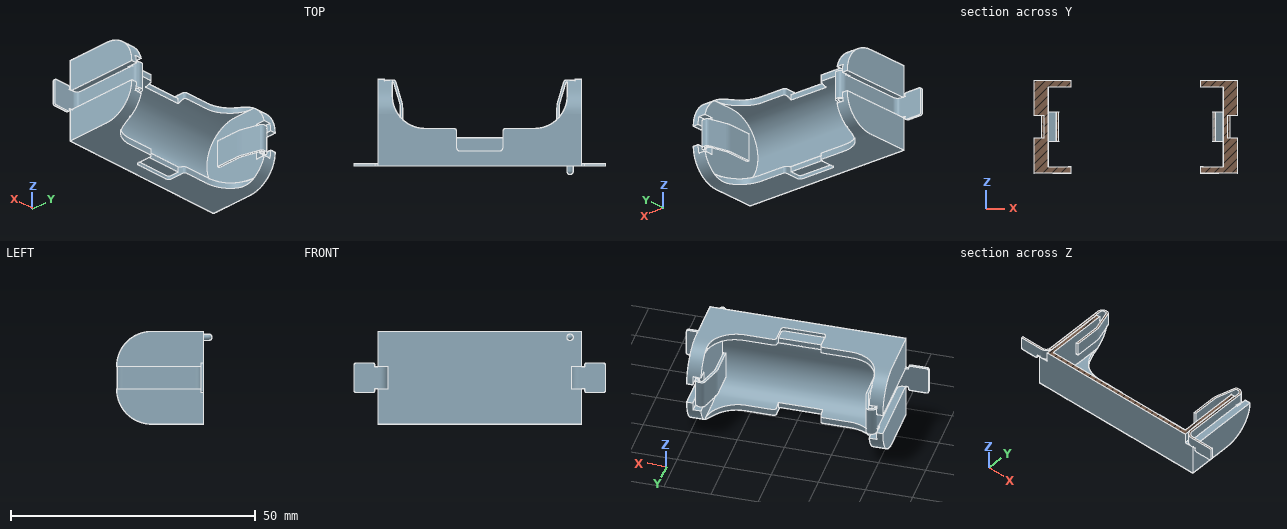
import cadquery as cq
import math


LENGTH = 41.65
WIDTH = 19.05
HEIGHT = 17.8
HALF_LENGTH = LENGTH / 2
HALF_WIDTH = WIDTH / 2
END_ROUND_RADIUS = 7.25
END_WALL = 3.0
SIDE_WALL_HEIGHT = 7.7
SIDE_SWEEP_RADIUS = 6.65
CUT_CLEARANCE = 0.5

CELL_RADIUS = 8.25
FLOOR = 1.05
CELL_AXIS_HEIGHT = FLOOR + CELL_RADIUS

NOTCH_LENGTH = 9.4
NOTCH_BOTTOM = 3.1
NOTCH_LEDGE_TOP = 5.8
NOTCH_LEDGE_DEPTH = 0.8
NOTCH_CORNER_RADIUS = 0.6

POCKET_SKIN = 1.35
POCKET_BOTTOM = 15.4
POCKET_WIDTH = 8.25

PIN_RADIUS = 0.65
PIN_LENGTH = 1.75
PIN_X = 18.45
PIN_Z = 8.3

OVERALL_LENGTH = 51.45
CLIP_THICKNESS = 0.5
CLIP_WIDTH = 4.55
BLADE_WIDTH = 6.05
CLIP_SLOT_DEPTH = 2.05
CLIP_TOP = 17.65
FOOT_BEND_RADIUS = 1.6
TOP_BEND_RADIUS = 1.25
TIP_BEND_RADIUS = 0.7
CONTACT_BEND_RADIUS = 4.1
TIP_BEND_START = 3.05
CONTACT_DEPTH = 5.1
CONTACT_BOTTOM = 6.15
ARM_LEAN = math.radians(16.5)
TAB_LENGTH = 4.25
TAB_CORNER_RADIUS = 0.4
TAB_REACH = (OVERALL_LENGTH - LENGTH) / 2


def block(x_limits, y_limits, z_limits):
    """Return a box between the given limits."""
    (x0, x1), (y0, y1), (z0, z1) = x_limits, y_limits, z_limits
    return cq.Workplane("XY").box(x1 - x0, y1 - y0, z1 - z0, centered=False).translate((x0, y0, z0))


def across(profile, width):
    """Extrude a profile in the XY plane by a width centred on Z = 0."""
    return profile.extrude(width / 2, both=True)


def housing_block():
    """Block with its two long open-side edges rounded."""
    body = block((-HALF_LENGTH, HALF_LENGTH), (0, HEIGHT), (-HALF_WIDTH, HALF_WIDTH))
    return body.edges("|X and >Y").fillet(END_ROUND_RADIUS)


def side_opening():
    """Space between the end walls above the low side walls."""
    inner = HALF_LENGTH - END_WALL
    opening = block((-inner, inner), (SIDE_WALL_HEIGHT, HEIGHT + CUT_CLEARANCE), (-HALF_WIDTH, HALF_WIDTH))
    return opening.edges("|Z and <Y").fillet(SIDE_SWEEP_RADIUS)


def cell_cavity():
    """Round-bottomed trough for the cell, open upwards."""
    inner = HALF_LENGTH - END_WALL
    trough = cq.Workplane("YZ").center(CELL_AXIS_HEIGHT, 0).circle(CELL_RADIUS).extrude(inner, both=True)
    mouth = block((-inner, inner), (CELL_AXIS_HEIGHT, HEIGHT + CUT_CLEARANCE), (-CELL_RADIUS, CELL_RADIUS))
    return trough.union(mouth)


def notch_outline():
    """Notch seen along Z, with rounded bottom corners and flared top corners."""
    half = NOTCH_LENGTH / 2
    radius = NOTCH_CORNER_RADIUS
    cut = radius * (1 - math.sqrt(0.5))
    top = SIDE_WALL_HEIGHT
    bottom = NOTCH_BOTTOM
    return (
        cq.Workplane("XY")
        .moveTo(-half - radius, top)
        .threePointArc((-half - cut, top - cut), (-half, top - radius))
        .lineTo(-half, bottom + radius)
        .threePointArc((-half + cut, bottom + cut), (-half + radius, bottom))
        .lineTo(half - radius, bottom)
        .threePointArc((half - cut, bottom + cut), (half, bottom + radius))
        .lineTo(half, top - radius)
        .threePointArc((half + cut, top - cut), (half + radius, top))
        .close()
    )


def finger_notch():
    """Notch through both side walls, leaving a sunken ledge at the foot of each."""
    cutter = across(notch_outline(), WIDTH)
    ledge_half_width = HALF_WIDTH - NOTCH_LEDGE_DEPTH
    kept = block(
        (-NOTCH_LENGTH, NOTCH_LENGTH),
        (0, NOTCH_LEDGE_TOP),
        (-ledge_half_width, ledge_half_width),
    )
    return cutter.cut(kept)


def clip_slot():
    """Slot in the left end wall, widened behind its outer skin to clear the top bends of the clip."""
    half_width = CLIP_WIDTH / 2
    slot = block(
        (-HALF_LENGTH, -HALF_LENGTH + CLIP_SLOT_DEPTH),
        (0, HEIGHT),
        (-half_width, half_width),
    )
    pocket = block(
        (-HALF_LENGTH + POCKET_SKIN, -HALF_LENGTH + END_WALL),
        (POCKET_BOTTOM, HEIGHT),
        (-POCKET_WIDTH / 2, POCKET_WIDTH / 2),
    )
    return slot.union(pocket)


def locating_pin():
    """Round-tipped pin standing out of the mounting face, part of the housing."""
    shank_length = PIN_LENGTH - PIN_RADIUS
    shank = cq.Workplane("XZ").circle(PIN_RADIUS).extrude(shank_length)
    tip = cq.Workplane("XY").sphere(PIN_RADIUS).translate((0, -shank_length, 0))
    return shank.union(tip).translate((PIN_X, 0, PIN_Z))


def make_housing():
    slot = clip_slot()
    return (
        housing_block()
        .cut(side_opening())
        .cut(cell_cavity())
        .cut(finger_notch())
        .cut(slot)
        .cut(slot.mirror("YZ"))
        .union(locating_pin())
    )


def bend(center, radius, start, end):
    """Return the start, middle and end points of an arc between two angles."""
    return [
        (center[0] + radius * math.cos(angle), center[1] + radius * math.sin(angle))
        for angle in (start, (start + end) / 2, end)
    ]


def path_through(start, bends, end):
    """Return a path from start to end along the given arcs, joined by straight lines."""
    path = cq.Workplane("XY").moveTo(*start)
    position = start
    for first, middle, last in bends:
        if first != position:
            path = path.lineTo(*first)
        path = path.threePointArc(middle, last)
        position = last
    return path.lineTo(*end)


def clip_strip():
    """Bent strip of the left clip: foot, upright, top bends and spring arm."""
    half = CLIP_THICKNESS / 2
    upright_x = -HALF_LENGTH + CLIP_SLOT_DEPTH - half
    top_y = CLIP_TOP - half
    contact_x = -HALF_LENGTH + CONTACT_DEPTH - half

    foot_radius = FOOT_BEND_RADIUS - half
    foot = bend((upright_x - foot_radius, FOOT_BEND_RADIUS), foot_radius, -math.pi / 2, 0)
    top_radius = TOP_BEND_RADIUS - half
    top = bend((upright_x + top_radius, top_y - top_radius), top_radius, math.pi, math.pi / 2)
    tip_radius = TIP_BEND_RADIUS - half
    tip_center = (-HALF_LENGTH + TIP_BEND_START, top_y - tip_radius)
    tip = bend(tip_center, tip_radius, math.pi / 2, ARM_LEAN)

    contact_radius = CONTACT_BEND_RADIUS - half
    contact_center_x = contact_x - contact_radius
    arm_end_x = contact_center_x + contact_radius * math.cos(ARM_LEAN)
    arm_end_y = tip[2][1] - (arm_end_x - tip[2][0]) / math.tan(ARM_LEAN)
    contact_center = (contact_center_x, arm_end_y - contact_radius * math.sin(ARM_LEAN))
    contact = bend(contact_center, contact_radius, ARM_LEAN, 0)

    strip_start = (-HALF_LENGTH - TAB_REACH + TAB_LENGTH, half)
    blade_start = top[0]
    strip_path = path_through(strip_start, [foot], blade_start)
    blade_path = path_through(blade_start, [top, tip, contact], (contact_x, CONTACT_BOTTOM))
    strip = cq.Workplane("YZ", origin=(*strip_start, 0)).rect(CLIP_THICKNESS, CLIP_WIDTH).sweep(strip_path)
    blade = cq.Workplane("XZ", origin=(*blade_start, 0)).rect(CLIP_THICKNESS, BLADE_WIDTH).sweep(blade_path)
    return strip.union(blade)


def solder_tab():
    """Wide rounded tab at the outer end of the left clip."""
    outer = -HALF_LENGTH - TAB_REACH
    tab = block((outer, outer + TAB_LENGTH), (0, CLIP_THICKNESS), (-BLADE_WIDTH / 2, BLADE_WIDTH / 2))
    return tab.edges("|Y").fillet(TAB_CORNER_RADIUS)


def make_left_clip():
    return clip_strip().union(solder_tab())


def make_clips():
    """Left clip and its mirror image at the right end."""
    left = make_left_clip()
    return [left, left.mirror("YZ")]


housing = make_housing()
clips = make_clips()
result = cq.Compound.makeCompound([housing.solids().val(), *[clip.solids().val() for clip in clips]])